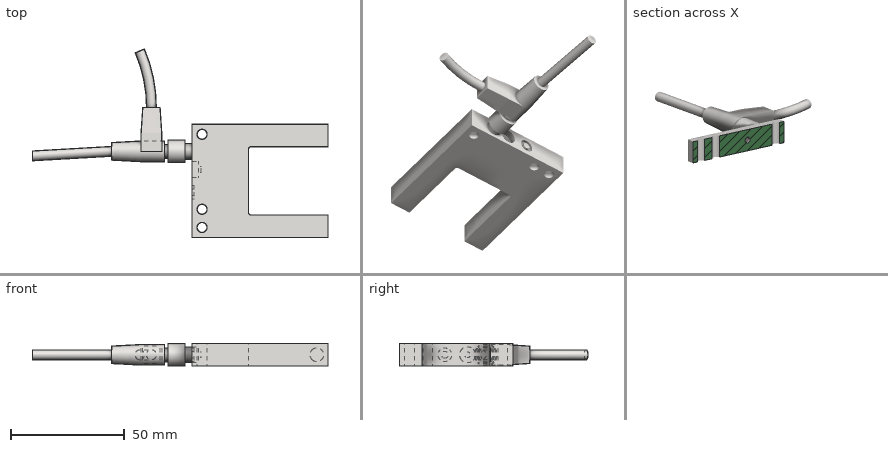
import cadquery as cq
import math

FORK_LENGTH = 60.0
FORK_WIDTH = 50.0
FORK_HEIGHT = 10.0
ARM_WIDTH = 10.0
SLOT_LENGTH = 35.0
SLOT_CORNER_RADIUS = 1.0

MOUNTING_HOLE_DIAMETER = 4.3
MOUNTING_HOLE_INSET = 4.5
MOUNTING_HOLE_PAIR_PITCH = 8.0

PLUG_Y = 38.0
ADJUSTER_Y = 30.0
ADJUSTER_DIAMETER = 7.0
ADJUSTER_DEPTH = 3.0
ADJUSTER_BORE_DIAMETER = 2.5
ADJUSTER_BORE_DEPTH = 1.0
LAMP_Y = 20.0
LAMP_RING_DIAMETER = 6.0
LAMP_POST_DIAMETER = 3.0
LAMP_RING_DEPTH = 1.0

WINDOW_DIAMETER = 6.0
WINDOW_INSET = 5.0
WINDOW_DEPTH = 0.1

SOCKET_DIAMETER = 7.0
SOCKET_LENGTH = 3.0
NUT_DIAMETER = 10.0
NUT_LENGTH = 7.5
NECK_DIAMETER = 6.2
NECK_LENGTH = 1.5
BODY_DIAMETER = 9.2
BODY_LENGTH = 10.4
BOOT_LENGTH = 12.9
BOOT_END_DIAMETER = 7.8
CABLE_DIAMETER = 4.4
OVERALL_LENGTH = 130.21
STRAIGHT_CABLE_DROP = 2.0

BLOCK_WIDTH = 9.2
BLOCK_LENGTH = 8.0
ANGLED_TAPER_LENGTH = 11.4
ANGLED_TIP_WIDTH = 7.7
ANGLED_CABLE_BEND_RADIUS = 62.8
OVERALL_WIDTH = 83.09

NUT_X = -SOCKET_LENGTH
NECK_X = NUT_X - NUT_LENGTH
BODY_X = NECK_X - NECK_LENGTH
BOOT_X = BODY_X - BODY_LENGTH
BOOT_END_X = BOOT_X - BOOT_LENGTH
CABLE_END_X = FORK_LENGTH - OVERALL_LENGTH


def rod_along_x(start_x, end_x, y, diameter):
    return (
        cq.Workplane("YZ", origin=(start_x, 0, 0))
        .center(y, 0)
        .circle(diameter / 2)
        .extrude(end_x - start_x)
    )


def fork_blank():
    blank = cq.Workplane("XY").box(FORK_LENGTH, FORK_WIDTH, FORK_HEIGHT, centered=(False, False, True))
    slot = (
        cq.Workplane("XY")
        .box(SLOT_LENGTH, FORK_WIDTH - 2 * ARM_WIDTH, FORK_HEIGHT, centered=(False, False, True))
        .translate((FORK_LENGTH - SLOT_LENGTH, ARM_WIDTH, 0))
        .edges("|Z and <X")
        .fillet(SLOT_CORNER_RADIUS)
    )
    return blank.cut(slot)


def mounting_holes():
    hole_ys = [
        MOUNTING_HOLE_INSET,
        MOUNTING_HOLE_INSET + MOUNTING_HOLE_PAIR_PITCH,
        FORK_WIDTH - MOUNTING_HOLE_INSET,
    ]
    return (
        cq.Workplane("XY", origin=(0, 0, -FORK_HEIGHT / 2))
        .pushPoints([(MOUNTING_HOLE_INSET, y) for y in hole_ys])
        .circle(MOUNTING_HOLE_DIAMETER / 2)
        .extrude(FORK_HEIGHT)
    )


def adjuster_recess():
    recess = rod_along_x(0, ADJUSTER_DEPTH, ADJUSTER_Y, ADJUSTER_DIAMETER)
    bore = rod_along_x(0, ADJUSTER_DEPTH + ADJUSTER_BORE_DEPTH, ADJUSTER_Y, ADJUSTER_BORE_DIAMETER)
    return recess.union(bore)


def lamp_ring():
    ring = rod_along_x(0, LAMP_RING_DEPTH, LAMP_Y, LAMP_RING_DIAMETER)
    post = rod_along_x(0, LAMP_RING_DEPTH, LAMP_Y, LAMP_POST_DIAMETER)
    return ring.cut(post)


def optical_windows():
    slot_width = FORK_WIDTH - 2 * ARM_WIDTH
    return (
        cq.Workplane("XZ", origin=(FORK_LENGTH - WINDOW_INSET, FORK_WIDTH / 2, 0))
        .circle(WINDOW_DIAMETER / 2)
        .extrude(slot_width / 2 + WINDOW_DEPTH, both=True)
    )


def make_fork():
    fork = fork_blank()
    for cutter in (mounting_holes(), adjuster_recess(), lamp_ring(), optical_windows()):
        fork = fork.cut(cutter)
    return fork.union(rod_along_x(NUT_X, 0, PLUG_Y, SOCKET_DIAMETER))


def make_nut():
    return rod_along_x(NECK_X, NUT_X, PLUG_Y, NUT_DIAMETER)


def make_straight_plug():
    shell = (
        cq.Workplane("XY", origin=(0, PLUG_Y, 0))
        .moveTo(NECK_X, 0)
        .lineTo(NECK_X, NECK_DIAMETER / 2)
        .lineTo(BODY_X, NECK_DIAMETER / 2)
        .lineTo(BODY_X, BODY_DIAMETER / 2)
        .lineTo(BOOT_X, BODY_DIAMETER / 2)
        .lineTo(BOOT_END_X, BOOT_END_DIAMETER / 2)
        .lineTo(BOOT_END_X, 0)
        .close()
        .revolve(360, (0, 0, 0), (1, 0, 0))
    )
    cable_path = (
        cq.Workplane("XY")
        .moveTo(BOOT_END_X, PLUG_Y)
        .lineTo(CABLE_END_X, PLUG_Y - STRAIGHT_CABLE_DROP)
    )
    cable = (
        cq.Workplane("YZ", origin=(BOOT_END_X, PLUG_Y, 0))
        .circle(CABLE_DIAMETER / 2)
        .sweep(cable_path)
    )
    return shell.union(cable)


def make_angled_plug():
    block_x = BOOT_X + BLOCK_WIDTH / 2
    block_end_y = PLUG_Y + BLOCK_LENGTH
    tip_y = block_end_y + ANGLED_TAPER_LENGTH
    block = (
        cq.Workplane("XY")
        .box(BLOCK_WIDTH, BLOCK_LENGTH, BLOCK_WIDTH, centered=(True, False, True))
        .translate((block_x, PLUG_Y, 0))
    )
    block = block.cut(rod_along_x(BOOT_X, BODY_X, PLUG_Y, BODY_DIAMETER))
    taper = (
        cq.Workplane("XZ", origin=(block_x, block_end_y, 0))
        .rect(BLOCK_WIDTH, BLOCK_WIDTH)
        .workplane(offset=-ANGLED_TAPER_LENGTH)
        .rect(ANGLED_TIP_WIDTH, ANGLED_TIP_WIDTH)
        .loft()
    )
    outer_bend_radius = ANGLED_CABLE_BEND_RADIUS + CABLE_DIAMETER / 2
    bend_angle = math.degrees(math.asin((OVERALL_WIDTH - tip_y) / outer_bend_radius))
    cable = (
        cq.Workplane("XZ", origin=(block_x, tip_y, 0))
        .circle(CABLE_DIAMETER / 2)
        .revolve(bend_angle, (-ANGLED_CABLE_BEND_RADIUS, 0, 0), (-ANGLED_CABLE_BEND_RADIUS, 1, 0))
    )
    return block.union(taper).union(cable)


fork = make_fork()
nut = make_nut()
straight_plug = make_straight_plug()
angled_plug = make_angled_plug()

bodies = [fork, nut, straight_plug, angled_plug]
result = cq.Compound.makeCompound([body.solids().val() for body in bodies])